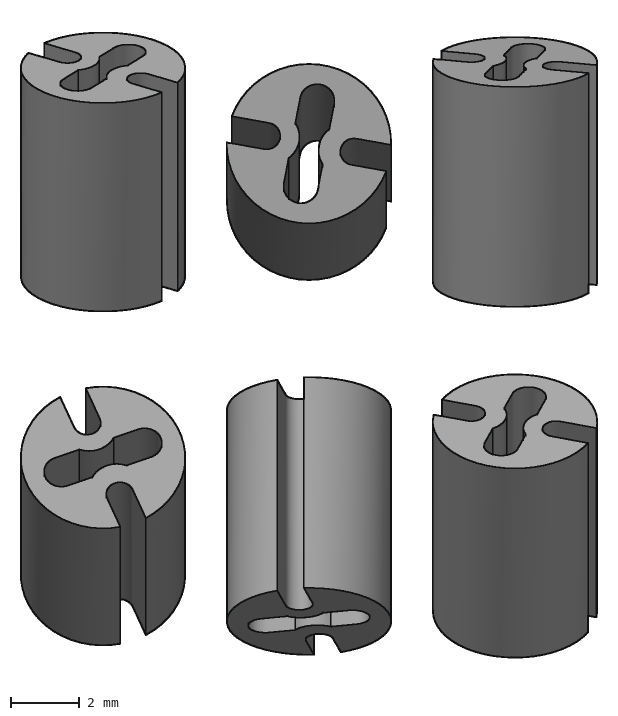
import cadquery as cq

height = 6.73
diameter = 4.8

groove_width = 0.8
left_tip_offset = 0.86
right_tip_offset = 0.935

slot_length = 3.62
slot_width = 1.01
neck_width = 0.59
bulge_radius = 0.795


def make_groove(side, tip_offset):
    """Cutter for one side groove; side is -1 or +1 along X."""
    groove_length = diameter
    center_x = side * (tip_offset + groove_length / 2)
    return (
        cq.Workplane("XY")
        .center(center_x, 0)
        .slot2D(groove_length, groove_width)
        .extrude(height)
    )


def make_center_slot():
    """Cutter for the central slot, with the bulges left standing."""
    slot = cq.Workplane("XY").slot2D(slot_length, slot_width, 90).extrude(height)
    bulge_x = neck_width / 2 + bulge_radius
    bulges = (
        cq.Workplane("XY")
        .pushPoints([(-bulge_x, 0), (bulge_x, 0)])
        .circle(bulge_radius)
        .extrude(height)
    )
    return slot.cut(bulges)


result = cq.Workplane("XY").circle(diameter / 2).extrude(height)
for side, tip_offset in ((-1, left_tip_offset), (1, right_tip_offset)):
    result = result.cut(make_groove(side, tip_offset))
result = result.cut(make_center_slot())